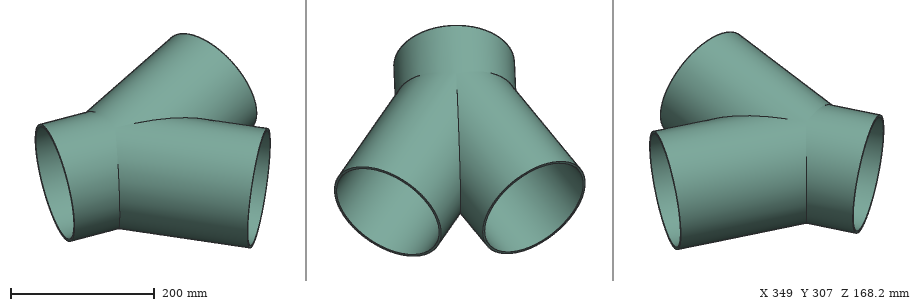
import cadquery as cq
import math

outer_diameter = 168.2
bore_diameter = 161.5
overall_width = 349.0
overall_depth = 307.0
branch_angle = 30.0

outer_radius = outer_diameter / 2
sin_branch = math.sin(math.radians(branch_angle))
cos_branch = math.cos(math.radians(branch_angle))
branch_length = (overall_width / 2 - outer_radius * cos_branch) / sin_branch
branch_reach = branch_length * cos_branch + outer_radius * sin_branch
inlet_length = overall_depth - branch_reach


def rod(diameter, length, direction):
    """Solid cylinder running from the origin along the given direction."""
    return cq.Workplane(cq.Solid.makeCylinder(diameter / 2, length, cq.Vector(0, 0, 0), cq.Vector(*direction)))


def wye(diameter):
    """Inlet along -Y joined to two mirrored branches; their overlaps form the mitred seams."""
    body = rod(diameter, inlet_length, (0, -1, 0))
    for side in (-1, 1):
        body = body.union(rod(diameter, branch_length, (side * sin_branch, cos_branch, 0)))
    return body


result = wye(outer_diameter).cut(wye(bore_diameter))